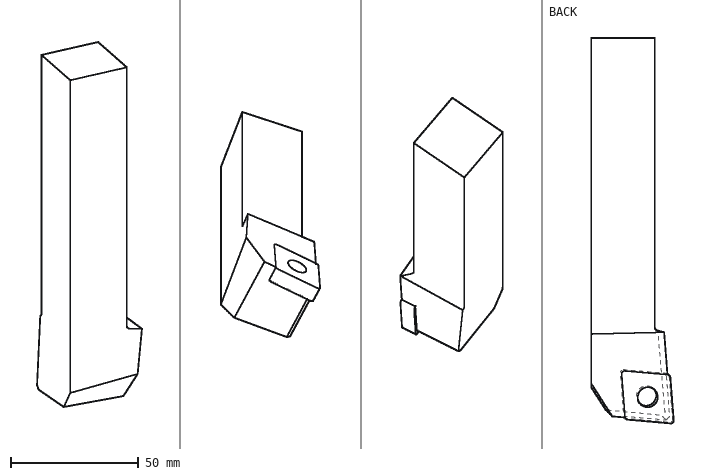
import cadquery as cq
import math

shank_side = 25.0
total_height = 151.4
shank_bottom = 36.3

rake_angle = 5.6
lead_angle = 5.0
tip = (-32.5, 25.0, -0.12)

side_overhang = 1.0
end_overhang = 0.8
head_corner_chamfer = 1.5
heel_start = 24.5
heel_angle = 52.0
head_reach = 53.0
head_depth = 45.4

shoulder_fillet = 1.4
shoulder_angle = 14.0
shoulder_top = 37.8
shoulder_reach = 12.1

insert_corner_angle = 80.0
insert_circle = 19.0
insert_thickness = 6.4
insert_nose_radius = 1.2
insert_hole_diameter = 7.9


side_slope = 1 / math.tan(math.radians(insert_corner_angle))
insert_side = insert_circle / math.sin(math.radians(insert_corner_angle))


def rake_plane():
    """Plane on the rake face: x along the end edge, y across it, normal into the head."""
    lean = math.tan(math.radians(rake_angle))
    lead = math.radians(lead_angle)
    edge_x, edge_z = math.cos(lead), math.sin(lead)
    edge_y = lean * (edge_x + edge_z)
    return cq.Plane(origin=tip, xDir=(edge_x, edge_y, edge_z), normal=(lean, -1, lean))


def shoulder_envelope(plane, direction):
    """Slab with a filleted, outward-sloping shoulder; direction is the outward sign of its local x."""
    slope = math.radians(shoulder_angle)

    def arc_point(angle):
        return (
            direction * (shank_side + shoulder_fillet * (1 - math.cos(angle))),
            shoulder_top - shoulder_fillet * math.sin(angle),
        )

    arc_end_angle = math.pi / 2 - slope
    arc_end = arc_point(arc_end_angle)
    outer_z = arc_end[1] - shoulder_reach * math.tan(slope)
    outer = arc_end[0] + direction * shoulder_reach
    return (
        cq.Workplane(plane)
        .moveTo(0, -head_reach)
        .lineTo(0, shoulder_top)
        .lineTo(direction * shank_side, shoulder_top)
        .threePointArc(arc_point(arc_end_angle / 2), arc_end)
        .lineTo(outer, outer_z)
        .lineTo(outer, -head_reach)
        .close()
        .extrude(head_reach, both=True)
    )


def make_head():
    """Tilted prism behind the rake face, trimmed to the shank sides and the shoulder."""
    heel_rise = (head_reach - heel_start) * math.tan(math.radians(heel_angle))
    corner = end_overhang + head_corner_chamfer
    flank_offset = side_overhang / math.sin(math.radians(insert_corner_angle))

    def flank_x(y):
        return flank_offset + y * side_slope

    prism = (
        cq.Workplane(rake_plane())
        .moveTo(flank_x(corner), corner)
        .lineTo(flank_x(end_overhang) + head_corner_chamfer, end_overhang)
        .lineTo(heel_start, end_overhang)
        .lineTo(head_reach, end_overhang + heel_rise)
        .lineTo(head_reach, head_reach)
        .lineTo(flank_x(head_reach), head_reach)
        .close()
        .extrude(head_depth)
    )
    return prism.intersect(shoulder_envelope("XZ", -1)).intersect(shoulder_envelope("YZ", 1))


def make_insert_blank():
    """Rhombic insert with rounded corners, without its hole."""
    skew = insert_circle * side_slope
    return (
        cq.Workplane(rake_plane())
        .lineTo(insert_side, 0)
        .lineTo(insert_side + skew, insert_circle)
        .lineTo(skew, insert_circle)
        .close()
        .extrude(insert_thickness)
        .edges(cq.selectors.ParallelDirSelector(rake_plane().zDir))
        .fillet(insert_nose_radius)
    )


def make_holder():
    shank = cq.Workplane("XY").workplane(offset=shank_bottom).rect(-shank_side, shank_side, centered=False)
    shank = shank.extrude(total_height - shank_bottom)
    return shank.union(make_head()).cut(make_insert_blank())


def make_insert():
    hole = (
        cq.Workplane(rake_plane())
        .center((insert_side + insert_circle * side_slope) / 2, insert_circle / 2)
        .circle(insert_hole_diameter / 2)
        .extrude(insert_thickness)
    )
    return make_insert_blank().cut(hole)


holder = make_holder()
insert = make_insert()
result = cq.Compound.makeCompound([holder.val(), insert.val()])